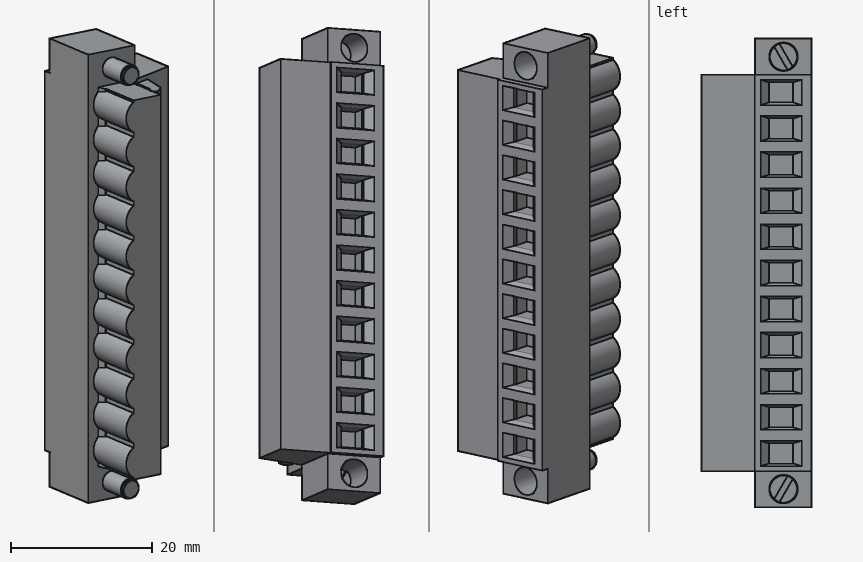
import cadquery as cq

total_length = 66.05
total_width = 18.8
total_depth = 15.5

flange_length = 5.1
flange_face_x = 1.2
housing_back_x = 10.75
housing_height = 8.0
upper_face_x = 0.4
upper_ridge_x = 8.2
body_bottom_z = flange_length
body_length = total_length - 2 * flange_length

latch_end_inset = 0.65
latch_root_x = 9.25
latch_underside_y = 8.45

position_count = 11
pitch = 5.1
mid_z = total_length / 2
position_heights = [mid_z + (i - (position_count - 1) / 2) * pitch for i in range(position_count)]

barrel_nose_y = 0.9
web_front_y = 2.2
rack_back_y = 6.9
barrel_chord = 4.4
wedge_end_x = 12.1
wedge_root_y = 1.7
wedge_tip_y = 2.05

entry_center_y = 4.3
funnel_depth = 1.1
entry_depth = 3.95
mouth_width = 5.75
mouth_height = 3.55
throat_width = 3.45
throat_height = 2.85
throat_length = 0.5
clamp_width = 3.3

screw_y = 3.95
screw_edge_distance = 2.6
bore_diameter = 4.0
bore_depth = 7.25
head_diameter = 3.8
head_height = 1.3
slot_width = 0.85
slot_depth = 0.65
slot_angle = 30.0
pin_diameter = 3.0
pin_end_x = 15.25
tip_diameter = 2.6
tip_end_x = 15.7


def box(x_range, y_range, z_range):
    """Box spanning the given (low, high) ranges."""
    (x0, x1), (y0, y1), (z0, z1) = x_range, y_range, z_range
    return cq.Workplane("XY").box(x1 - x0, y1 - y0, z1 - z0, centered=False).translate((x0, y0, z0))


def body_profile(points, end_inset=0):
    """Closed XY outline extruded over the length of the body, less an inset at each end."""
    plane = cq.Workplane("XY", origin=(0, 0, body_bottom_z + end_inset))
    return plane.polyline(points).close().extrude(body_length - 2 * end_inset)


def x_cylinder(diameter, x_start, x_end, z):
    """Cylinder along X on a screw axis."""
    plane = cq.Workplane("YZ", origin=(x_start, screw_y, z))
    return plane.circle(diameter / 2).extrude(x_end - x_start)


def make_housing():
    body_z = (body_bottom_z, body_bottom_z + body_length)
    lower = box((0, housing_back_x), (0, housing_height), body_z)
    flanges = box((flange_face_x, housing_back_x), (0, housing_height), (0, total_length))
    upper = body_profile([
        (upper_face_x, housing_height),
        (housing_back_x, housing_height),
        (upper_ridge_x, total_depth),
        (upper_face_x, total_depth),
    ])
    return lower.union(flanges).union(upper)


def make_latch():
    """Hooked latch strip; its root is buried in the sloped back of the housing."""
    outline = [
        (latch_root_x, 10.95),
        (14.25, 10.05),
        (15.3, 8.85),
        (15.25, 8.4),
        (14.6, 7.85),
        (13.75, latch_underside_y),
        (latch_root_x, latch_underside_y),
    ]
    return body_profile(outline, latch_end_inset)


def make_rack():
    """Web joining the barrels, with a wedge that thickens it near the housing."""
    web = body_profile([
        (housing_back_x, rack_back_y),
        (housing_back_x, wedge_root_y),
        (wedge_end_x, wedge_tip_y),
        (wedge_end_x, web_front_y),
        (total_width, web_front_y),
        (total_width, rack_back_y),
    ])
    for z in position_heights:
        barrel = (
            cq.Workplane("YZ", origin=(housing_back_x, 0, z))
            .moveTo(rack_back_y, -barrel_chord / 2)
            .lineTo(web_front_y, -barrel_chord / 2)
            .threePointArc((barrel_nose_y, 0), (web_front_y, barrel_chord / 2))
            .lineTo(rack_back_y, barrel_chord / 2)
            .close()
            .extrude(total_width - housing_back_x)
        )
        web = web.union(barrel)
    return web


def make_wire_entry(z):
    """Tapered mouth and short throat leading into a slightly narrower clamp hole."""
    funnel = (
        cq.Workplane("YZ", origin=(0, entry_center_y, z))
        .rect(mouth_width, mouth_height)
        .workplane(offset=funnel_depth)
        .rect(throat_width, throat_height)
        .loft(ruled=True)
    )
    throat = (
        cq.Workplane("YZ", origin=(funnel_depth, entry_center_y, z))
        .rect(throat_width, throat_height)
        .extrude(throat_length)
    )
    clamp_x = funnel_depth + throat_length
    clamp = (
        cq.Workplane("YZ", origin=(clamp_x, entry_center_y, z))
        .rect(clamp_width, throat_height)
        .extrude(entry_depth - clamp_x)
    )
    return funnel.union(throat).union(clamp)


def make_screw(z, angle):
    """Slotted head at the bottom of the bore and a stepped pin behind the flange."""
    floor_x = flange_face_x + bore_depth
    head_x = floor_x - head_height
    head = x_cylinder(head_diameter, head_x, floor_x, z)
    slot = (
        cq.Workplane("YZ", origin=(head_x, screw_y, z))
        .transformed(rotate=(0, 0, angle))
        .rect(slot_width, 2 * head_diameter)
        .extrude(slot_depth)
    )
    pin = x_cylinder(pin_diameter, floor_x, pin_end_x, z)
    tip = x_cylinder(tip_diameter, pin_end_x, tip_end_x, z)
    return head.cut(slot).union(pin).union(tip)


result = make_housing().union(make_latch()).union(make_rack())

for entry_z in position_heights:
    result = result.cut(make_wire_entry(entry_z))

for screw_z, angle in (
    (screw_edge_distance, slot_angle),
    (total_length - screw_edge_distance, -slot_angle),
):
    result = result.cut(x_cylinder(bore_diameter, flange_face_x, flange_face_x + bore_depth, screw_z))
    result = result.union(make_screw(screw_z, angle))